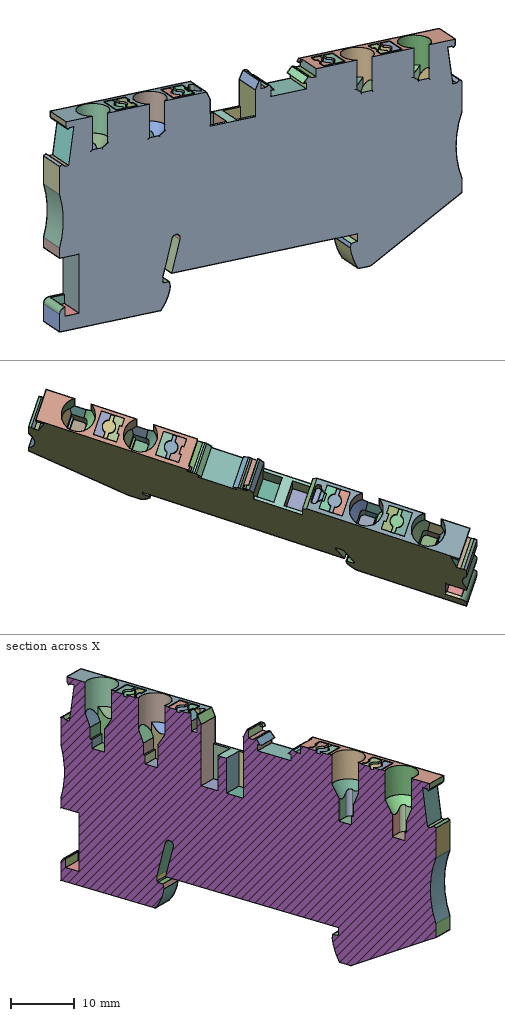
import cadquery as cq
import math


thickness = 5.15
length = 72.2
height = 35.25
half_length = length / 2
mid_x = thickness / 2

lip_y = 34.92
lip_base_z = 34.3
lip_tip = (34.6, 33.9)
lip_tip_length = 0.35
neck_top = (33.55, 34.15)
neck_bottom = (34.47, 27.8)
shoulder_inner_y = 35.12
shoulder_peak = (35.65, 28.2)
shoulder_z = 27.95
grip_radius = 15.5
rear_grip_z = (11.55, 22.8)
front_grip_z = (14.2, 23.2)

rear_corner_z = 9.15
rear_foot_toe_y = 19.7
rear_foot_heel_y = 17.5
rear_claw_mid = (16.6, 1.75)
rear_claw_tip = (16.05, 3.8)
rear_claw_top = (16.2, 4.5)
rear_claw_root = (17.3, 4.65)

rail_seat_z = 5.9
slot_mouth_y = -16.0
slot_inner_top = (-14.52, 11.3)
slot_crown = (-15.1, 12.3)
slot_outer_top = (-15.95, 11.7)
slot_outer_bottom = (-17.57, 5.55)
slot_heel_z = 4.8

front_claw_root_y = -17.4
front_claw_top = (-16.4, 4.6)
front_claw_tip = (-16.2, 3.8)
front_claw_mid = (-16.8, 1.75)
front_foot_heel_y = -17.95
foot_notch_y = -32.6
foot_notch_z = (4.0, 12.46)
foot_lip_radius = 1.0
foot_recess_wall = 0.5
foot_recess_depth = 1.5

channel_y = (-9.04, -1.0)
channel_floor_z = 29.35
channel_chamfer_y = 0.7
channel_chamfer_z = 1.4

seat_mid_y = 5.0
seat_hook_tip = 4.35
seat_hook_root = 4.94
seat_hook_top = 4.7
seat_hook_z = 34.8
seat_ledge_z = 33.9
seat_step_outer = 4.1
seat_step_inner = 3.75
seat_ramp_top = 3.45
seat_step_z = 34.15
seat_ramp_bottom = 2.6
seat_ramp_z = 33.2
seat_wall = 3.17
seat_floor_z = 32.2
seat_hook_thickness = 0.65

contact_pitch = 10.24
first_button_y = 13.48
first_entry_y = first_button_y + contact_pitch / 2
contacts_per_half = 2

entry_x = 2.87
entry_radius = 2.65
entry_bore_depth = 5.0
entry_cone_depth = 2.5
entry_cone_radius = 1.2
throat_x = 2.6
throat_width = 3.0
throat_length = 2.4
throat_corner = 0.7
throat_depth = 11.0
throat_step_length = 0.35
throat_step_depth = 9.5

button_x = 2.65
button_width = 3.95
button_length = 3.8
button_recess = 0.1
button_key_length = 0.36
button_key_width = 1.3
mark_radius = 1.05
mark_slot_width = 0.6
mark_depth = 0.45

test_pocket_width = 4.15
test_pocket_length = 3.17
test_pocket_depth = 6.0

release_y = -9.95
release_x = 2.7
release_width = 3.1
release_slot_length = 0.95
release_slot_depth = 3.0
release_ramp_depth = 1.3
release_ramp_length = 0.7
release_corner = 0.4
release_ramp_end_width = 1.0


def grip_middle(z_range):
    """Deepest point of a concave end grip, for the +Y end."""
    low, high = z_range
    half_chord = (high - low) / 2
    sagitta = grip_radius - math.sqrt(grip_radius**2 - half_chord**2)
    return (half_length - sagitta, (low + high) / 2)


def mirrored(point):
    return (-point[0], point[1])


def seat_point(side, offset, z):
    """Point of the marker seat on its +Y (side=1) or -Y (side=-1) flank."""
    return (seat_mid_y + side * offset, z)


def end_points():
    """Upper part of the +Y end, from the top face down to the shoulder."""
    return [
        (lip_y, height),
        (lip_y, lip_base_z),
        lip_tip,
        (lip_tip[0] - lip_tip_length, neck_top[1]),
        neck_top,
        neck_bottom,
        (shoulder_inner_y, neck_bottom[1]),
        shoulder_peak,
        (half_length, shoulder_z),
    ]


def seat_flank(side):
    """Marker seat flank from the top face down to the seat floor."""
    return [
        seat_point(side, seat_hook_top, height),
        seat_point(side, seat_hook_tip, seat_hook_z),
        seat_point(side, seat_hook_root, seat_hook_z),
        seat_point(side, seat_hook_root, seat_ledge_z),
        seat_point(side, seat_step_outer, seat_ledge_z),
        seat_point(side, seat_step_inner, seat_step_z),
        seat_point(side, seat_ramp_top, seat_step_z),
        seat_point(side, seat_ramp_bottom, seat_ramp_z),
        seat_point(side, seat_wall, seat_ramp_z),
        seat_point(side, seat_wall, seat_floor_z),
    ]


def add_lines(sketch, points):
    for point in points:
        sketch = sketch.lineTo(*point)
    return sketch


def make_body():
    rear_end = end_points()
    front_end = [mirrored(point) for point in reversed(rear_end)]
    channel_front, channel_rear = channel_y
    chamfer_z = height - channel_chamfer_z

    outline = cq.Workplane("YZ").moveTo(*rear_end[0])
    outline = add_lines(outline, rear_end[1:])

    outline = outline.lineTo(half_length, rear_grip_z[1])
    outline = outline.threePointArc(grip_middle(rear_grip_z), (half_length, rear_grip_z[0]))
    outline = outline.lineTo(half_length, rear_corner_z)
    outline = outline.lineTo(rear_foot_toe_y, 0)
    outline = outline.lineTo(rear_foot_heel_y, 0)
    outline = outline.threePointArc(rear_claw_mid, rear_claw_tip)
    outline = add_lines(outline, [rear_claw_top, rear_claw_root])

    outline = outline.lineTo(rear_claw_root[0], rail_seat_z)
    outline = outline.lineTo(slot_mouth_y, rail_seat_z)
    outline = outline.lineTo(*slot_inner_top)
    outline = outline.threePointArc(slot_crown, slot_outer_top)
    outline = outline.lineTo(*slot_outer_bottom)
    outline = outline.lineTo(slot_outer_bottom[0], slot_heel_z)

    outline = outline.lineTo(front_claw_root_y, front_claw_top[1])
    outline = add_lines(outline, [front_claw_top, front_claw_tip])
    outline = outline.threePointArc(front_claw_mid, (front_foot_heel_y, 0))
    outline = outline.lineTo(-half_length, 0)
    outline = outline.lineTo(-half_length, foot_notch_z[0] - foot_lip_radius)
    outline = outline.radiusArc((-half_length + foot_lip_radius, foot_notch_z[0]), foot_lip_radius)
    outline = outline.lineTo(foot_notch_y, foot_notch_z[0])
    outline = outline.lineTo(foot_notch_y, foot_notch_z[1])
    outline = outline.lineTo(-half_length, foot_notch_z[1])
    outline = outline.lineTo(-half_length, front_grip_z[0])
    outline = outline.threePointArc(
        mirrored(grip_middle(front_grip_z)), (-half_length, front_grip_z[1])
    )
    outline = add_lines(outline, front_end)

    outline = outline.lineTo(channel_front - channel_chamfer_y, height)
    outline = outline.lineTo(channel_front, chamfer_z)
    outline = outline.lineTo(channel_front, channel_floor_z)
    outline = outline.lineTo(channel_rear, channel_floor_z)
    outline = outline.lineTo(channel_rear, chamfer_z)
    outline = outline.lineTo(channel_rear + channel_chamfer_y, height)
    outline = add_lines(outline, seat_flank(-1))
    outline = add_lines(outline, reversed(seat_flank(1)))
    return outline.close().extrude(thickness)


def pocket(x, y, size_x, size_y, depth, top_z=height):
    """Box-shaped cutter that hangs down from top_z, centred on (x, y)."""
    return (
        cq.Workplane("XY")
        .workplane(offset=top_z - depth)
        .center(x, y)
        .rect(size_x, size_y)
        .extrude(depth)
    )


def trim_marker_hooks(body):
    """Leave the upper marker hooks only as a thin strip at the -X face."""
    trim_width = thickness - seat_hook_thickness
    trim_x = (thickness + seat_hook_thickness) / 2
    trim_length = seat_hook_root - seat_step_outer
    trim_offset = (seat_hook_root + seat_step_outer) / 2
    for side in (-1, 1):
        trim_y = seat_mid_y + side * trim_offset
        body = body.cut(pocket(trim_x, trim_y, trim_width, trim_length, height - seat_ledge_z))
    return body


def cut_foot_recess(body):
    """Recess behind the rounded foot lip, open at +X and walled at -X."""
    lip_back_y = -half_length + foot_lip_radius
    return body.cut(
        pocket(
            (foot_recess_wall + thickness) / 2,
            (lip_back_y + foot_notch_y) / 2,
            thickness - foot_recess_wall,
            foot_notch_y - lip_back_y,
            foot_recess_depth,
            foot_notch_z[0],
        )
    )


def ruled_frustum(shared_corner, lower_corner, upper_corner, lower_z, upper_z):
    """Solid between two level rectangles that share one plan corner."""
    shared_x, shared_y = shared_corner
    wires = []
    for (far_x, far_y), z in ((lower_corner, lower_z), (upper_corner, upper_z)):
        corners = [
            cq.Vector(shared_x, shared_y, z),
            cq.Vector(far_x, shared_y, z),
            cq.Vector(far_x, far_y, z),
            cq.Vector(shared_x, far_y, z),
        ]
        wires.append(cq.Wire.makePolygon(corners, close=True))
    return cq.Workplane(cq.Solid.makeLoft(wires, True))


def cut_wire_entry(body, y, outward):
    """Round bore, funnel and stepped throat; outward is the Y sign of the nearer end.

    The funnel is conical, with flat ramps towards the nearer end and +X.
    """
    step_outer_y = y + outward * (throat_length / 2 + throat_step_length)
    bore = (
        cq.Workplane("XY", origin=(entry_x, y, height - entry_bore_depth))
        .circle(entry_radius)
        .extrude(entry_bore_depth)
    )
    funnel = cq.Workplane(
        cq.Solid.makeCone(
            entry_radius,
            entry_cone_radius,
            entry_cone_depth,
            pnt=cq.Vector(entry_x, y, height - entry_bore_depth),
            dir=cq.Vector(0, 0, -1),
        )
    )
    ramp_bottom_z = height - entry_bore_depth - entry_cone_depth
    ramp_inboard_y = y - outward * (throat_length / 2 - throat_corner)
    ramp_start_x = throat_x - throat_width / 2
    ramps = ruled_frustum(
        (ramp_start_x, ramp_inboard_y),
        (ramp_start_x + throat_width, step_outer_y),
        (entry_x + entry_radius, y + outward * entry_radius),
        ramp_bottom_z,
        height - entry_bore_depth,
    ).intersect(bore.translate((0, 0, -entry_cone_depth)))
    inboard_edges = "|Z and <Y" if outward > 0 else "|Z and >Y"
    throat = (
        pocket(throat_x, y, throat_width, throat_length, throat_depth)
        .edges(inboard_edges)
        .fillet(throat_corner)
    )
    step_y = step_outer_y - outward * throat_step_length / 2
    step = pocket(throat_x, step_y, throat_width, throat_step_length, throat_step_depth)
    return body.cut(bore).cut(funnel).cut(ramps).cut(throat).cut(step)


def cut_push_button(body, y, outward):
    """Shallow square recess with an inboard key and a cross-slotted screwdriver mark."""
    key_y = y - outward * (button_length - button_key_length) / 2
    key = pocket(button_x, key_y, button_key_width, button_key_length, button_recess)
    recess = pocket(button_x, y, button_width, button_length, button_recess).cut(key)
    mark = (
        cq.Workplane("XY", origin=(button_x, y, height - mark_depth))
        .circle(mark_radius)
        .extrude(mark_depth)
    )
    slot = pocket(button_x, y, button_width, mark_slot_width, mark_depth)
    return body.cut(recess).cut(mark).cut(slot)


def cut_test_pockets(body):
    """Two deep pockets in the channel floor, one against each channel wall."""
    channel_front, channel_rear = channel_y
    for pocket_y in (
        channel_front + test_pocket_length / 2,
        channel_rear - test_pocket_length / 2,
    ):
        body = body.cut(
            pocket(
                mid_x,
                pocket_y,
                test_pocket_width,
                test_pocket_length,
                test_pocket_depth,
                channel_floor_z,
            )
        )
    return body


def cut_release_opening(body):
    """Slot beside the channel, with a ramp that narrows and rises towards -Y."""
    slot_end_y = release_y - release_slot_length
    slot = (
        pocket(
            release_x,
            release_y - release_slot_length / 2,
            release_width,
            release_slot_length,
            release_slot_depth,
        )
        .edges("|Z")
        .fillet(release_corner)
    )
    ramp_end_y = slot_end_y - release_ramp_length
    ramp_start_y = slot_end_y + release_corner
    start_half = release_width / 2 - release_corner
    end_half = release_ramp_end_width / 2
    plan = (
        cq.Workplane("XY", origin=(release_x, 0, height - release_ramp_depth))
        .moveTo(-start_half, ramp_start_y)
        .lineTo(-start_half, slot_end_y)
        .lineTo(-end_half, ramp_end_y)
        .lineTo(end_half, ramp_end_y)
        .lineTo(start_half, slot_end_y)
        .lineTo(start_half, ramp_start_y)
        .close()
        .extrude(release_ramp_depth)
    )
    slope = (
        cq.Workplane("YZ")
        .moveTo(ramp_end_y, height)
        .lineTo(slot_end_y, height - release_ramp_depth)
        .lineTo(ramp_start_y, height - release_ramp_depth)
        .lineTo(ramp_start_y, height)
        .close()
        .extrude(thickness)
    )
    return body.cut(slot).cut(plan.intersect(slope))


result = trim_marker_hooks(make_body())
result = cut_foot_recess(result)
for outward in (-1, 1):
    for index in range(contacts_per_half):
        contact_offset = index * contact_pitch
        result = cut_push_button(result, outward * (first_button_y + contact_offset), outward)
        result = cut_wire_entry(result, outward * (first_entry_y + contact_offset), outward)
result = cut_test_pockets(result)
result = cut_release_opening(result)